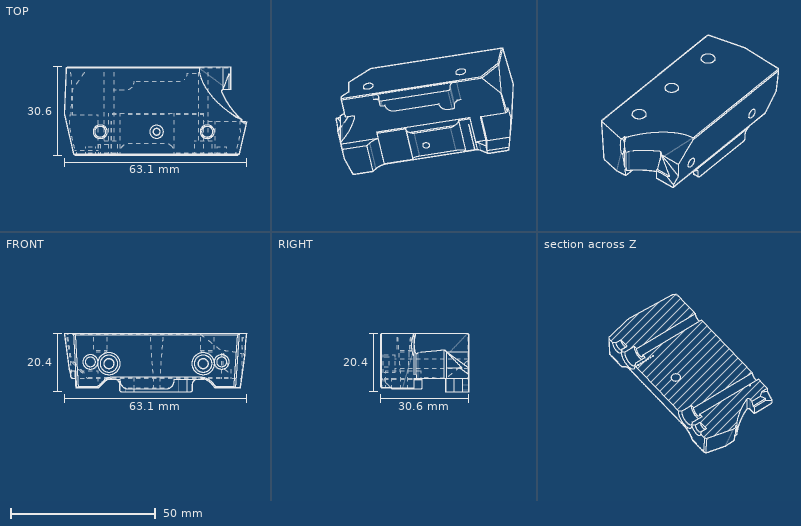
import cadquery as cq
import math

LARGE = 100.0

WIDTH = 30.6
LEFT_TIP = (-31.72, 14.4)
LEFT_FRONT = (-28.4, 0.0)
LEFT_BACK = (-31.05, WIDTH)
RIGHT_TIP = (31.36, 11.4)
RIGHT_FRONT = (28.7, 0.0)
BACK_LEAN = math.tan(math.radians(8.5))
LEFT_LEAN = math.tan(math.radians(3.2))
RIGHT_LEAN = math.tan(math.radians(4.0))
LEG_BOTTOM = -18.9
UNDERSIDE = -15.67
LEFT_LEG_THICKNESS = 3.8
RIGHT_LEG_THICKNESS = 11.7
FRONT_CHAMFER = 0.5
BACK_CHAMFER = 0.35
LOWER_EDGE_X = -28.95

RELIEF_LEFT_FLANK = ((-22.0, -20.9), (-17.6, -16.6))
RELIEF_LEFT_ARC = ((-16.6, -15.9), (-15.4, UNDERSIDE))
RELIEF_RIGHT_ROOT = 15.7
RELIEF_RIGHT_ARC = ((17.8, -16.3), (19.4, -17.7))
RELIEF_RIGHT_END = (22.1, -20.9)

BASE_HALF_LENGTH = 16.4
BASE_BOTTOM = -16.03
BASE_BACK_CHAMFER = 0.3
BASE_BACK = 14.45
PAD_X = (-12.4, 6.2)
PAD_BOTTOM = -19.3
PAD_CORNER_RADIUS = 2.9
PAD_BACK_CHAMFER = 0.35

FOOT_HALF_LENGTH = 12.58
FOOT_FRONT = 22.6
FOOT_BOTTOM = -20.35
FOOT_ROOT_RADIUS = 2.2
FOOT_EDGE_RADIUS = 0.8
FOOT_STEP_RADIUS = 2.9
FOOT_STEP_ENDS = (-7.65, 10.75)

RECESS_FLOOR_X = -20.0
RECESS_Y = (1.7, 14.05)
RECESS_TOP = -13.1
CORNER_CUT_POINT = (-29.65, WIDTH, -9.2)
CORNER_CUT_NORMAL = (-0.65, 0.45, -0.62)

RAMP_EDGE_X = 14.94
RAMP_ANGLE = math.radians(38.0)
GULLET_RADIUS = 9.6
GULLET_TANGENT_Y = 30.2
GULLET_HEADING = math.radians(-36.5)
PILLAR_TOP_X = 23.2
PILLAR_LEDGE_X = 25.2
PILLAR_END_X = 25.85
PILLAR_FRONT = 22.8
PILLAR_LEDGE_Z = -12.0
PILLAR_CORNER = 3.1
PILLAR_CORNER_NORMAL = (0.57, 0.48, 0.67)
PILLAR_ROOT_X = 23.3
PILLAR_ROOT_ARC = ((22.9, 22.6), (22.7, 22.0))
CLEARANCE_ARC = ((25.3, 17.3), (28.9, 13.0))
SHOULDER_STEP = 0.7
SHOULDER = (29.7, RIGHT_LEG_THICKNESS)

SCREW_X = 16.3
SCREW_Z = -10.5
SCREW_DIAMETER = 3.4
SCREW_BORE_DIAMETER = 6.0
SCREW_MOUTH_DIAMETER = 7.7
SCREW_BORE_DEPTH = 5.0
PIN_X = 22.7
PIN_Z = -9.9
PIN_DIAMETER = 3.4
PIN_MOUTH_DIAMETER = 5.1
PIN_DEPTH = 3.0
TOP_HOLE_Y = 8.2
TOP_HOLE_X = (-19.3, 17.7)
TOP_HOLE_DIAMETER = 4.8
TOP_HOLE_END_DIAMETER = 3.8
TOP_HOLE_DEPTH = 6.0
CENTRE_HOLE_X = 0.2
CENTRE_HOLE_DIAMETER = 4.6
CENTRE_THROUGH_DIAMETER = 2.3


def block(x_range, y_range, z_range):
    """Box spanning the given ranges."""
    size = [high - low for low, high in (x_range, y_range, z_range)]
    return cq.Workplane().box(*size, centered=False).translate((x_range[0], y_range[0], z_range[0]))


def half_space(point, normal):
    """Large block lying on the outer side of a plane."""
    return cq.Workplane(cq.Plane(origin=point, normal=normal)).rect(LARGE, LARGE).extrude(LARGE)


def leaning_side(start, end, lean):
    """Material outside a side face whose top edge runs from start to end and which leans inwards."""
    outward = math.copysign(1.0, start[0])
    edge = cq.Vector(end[0] - start[0], end[1] - start[1], 0)
    fall = cq.Vector(-outward * lean, 0, -1)
    normal = edge.cross(fall)
    if normal.x * outward < 0:
        normal = -normal
    return half_space((start[0], start[1], 0), normal.toTuple())


def mirrored(point):
    """Plan point mirrored to the other end of the part."""
    return (-point[0], point[1])


def front_relief():
    """Opening between the two front legs, as a prism along Y."""
    return (
        cq.Workplane("XZ")
        .moveTo(*RELIEF_LEFT_FLANK[0])
        .lineTo(*RELIEF_LEFT_FLANK[1])
        .threePointArc(*RELIEF_LEFT_ARC)
        .lineTo(RELIEF_RIGHT_ROOT, UNDERSIDE)
        .threePointArc(*RELIEF_RIGHT_ARC)
        .lineTo(*RELIEF_RIGHT_END)
        .close()
        .extrude(-RIGHT_LEG_THICKNESS)
    )


def body():
    """Tapered block with two front legs and chamfered long edges."""
    blank = block((-LARGE / 2, LARGE / 2), (0, WIDTH), (LEG_BOTTOM, 0))
    blank = blank.cut(block((-LARGE, 0), (LEFT_LEG_THICKNESS, WIDTH), (LEG_BOTTOM, UNDERSIDE)))
    blank = blank.cut(block((0, LARGE), (RIGHT_LEG_THICKNESS, WIDTH), (LEG_BOTTOM, UNDERSIDE)))
    blank = blank.cut(leaning_side(LEFT_TIP, LEFT_BACK, BACK_LEAN))
    blank = blank.cut(leaning_side(LEFT_TIP, LEFT_FRONT, LEFT_LEAN))
    blank = blank.cut(leaning_side(RIGHT_TIP, RIGHT_FRONT, RIGHT_LEAN))
    blank = blank.cut(leaning_side(mirrored(LEFT_TIP), mirrored(LEFT_BACK), BACK_LEAN))
    blank = blank.cut(front_relief())
    blank = blank.faces("<Y").edges().chamfer(FRONT_CHAMFER)
    blank = blank.cut(half_space(CORNER_CUT_POINT, CORNER_CUT_NORMAL))
    lower_edge = half_space((LOWER_EDGE_X, LEFT_TIP[1], UNDERSIDE), (-1, 0, -1))
    blank = blank.cut(lower_edge.intersect(block((-LARGE, 0), (RECESS_Y[1], WIDTH), (-LARGE, 0))))
    return blank.faces(">Y").edges().chamfer(BACK_CHAMFER)


def left_recess():
    """Step low in the left side, behind the left leg."""
    return block((-LARGE, RECESS_FLOOR_X), RECESS_Y, (-LARGE, RECESS_TOP))


def ramped_bar(x_range, bottom, back_chamfer):
    """Bar along X whose front is a 45 degree ramp continuing the front chamfer."""
    slope_start = UNDERSIDE + FRONT_CHAMFER
    outline = [
        (FRONT_CHAMFER, UNDERSIDE),
        (slope_start - bottom, bottom),
        (BASE_BACK - back_chamfer, bottom),
        (BASE_BACK, bottom + back_chamfer),
        (BASE_BACK, UNDERSIDE),
    ]
    bar = cq.Workplane("YZ").polyline(outline).close().extrude(x_range[1] - x_range[0])
    return bar.translate((x_range[0], 0, 0))


def pad():
    """Ramped pad with its lower corners rounded along Y."""
    bar = ramped_bar(PAD_X, PAD_BOTTOM, PAD_BACK_CHAMFER)
    rounded = (
        block(PAD_X, (0, WIDTH), (PAD_BOTTOM, UNDERSIDE))
        .edges("|Y and <Z")
        .fillet(PAD_CORNER_RADIUS)
    )
    return bar.intersect(rounded)


def foot():
    """Foot at the back edge: flared at its root and stepped back twice towards the right."""
    root = FOOT_HALF_LENGTH + FOOT_ROOT_RADIUS
    neck = UNDERSIDE - FOOT_ROOT_RADIUS
    sag = FOOT_ROOT_RADIUS * (1 - math.sqrt(0.5))
    flared = (
        cq.Workplane("XZ", origin=(0, FOOT_FRONT, 0))
        .moveTo(-root, UNDERSIDE)
        .threePointArc((-FOOT_HALF_LENGTH - sag, UNDERSIDE - sag), (-FOOT_HALF_LENGTH, neck))
        .lineTo(-FOOT_HALF_LENGTH, FOOT_BOTTOM)
        .lineTo(FOOT_HALF_LENGTH, FOOT_BOTTOM)
        .lineTo(FOOT_HALF_LENGTH, neck)
        .threePointArc((FOOT_HALF_LENGTH + sag, UNDERSIDE - sag), (root, UNDERSIDE))
        .close()
        .extrude(FOOT_FRONT - WIDTH)
        .edges("|Y and <Z")
        .fillet(FOOT_EDGE_RADIUS)
    )
    for number, step_end in enumerate(FOOT_STEP_ENDS):
        front = FOOT_FRONT + number * FOOT_STEP_RADIUS
        flared = flared.cut(foot_step(step_end, front))
    return flared


def foot_step(step_end, front):
    """Cutter that drops the foot's front back by one rounded step, right of step_end."""
    start = step_end - FOOT_STEP_RADIUS
    sag = FOOT_STEP_RADIUS * math.sqrt(0.5)
    return (
        cq.Workplane("XY", origin=(0, 0, FOOT_BOTTOM))
        .moveTo(start, front)
        .threePointArc((start + sag, front + FOOT_STEP_RADIUS - sag), (step_end, front + FOOT_STEP_RADIUS))
        .lineTo(LARGE, front + FOOT_STEP_RADIUS)
        .lineTo(LARGE, front)
        .close()
        .extrude(UNDERSIDE - FOOT_BOTTOM)
    )


def gullet():
    """Slanted trough: a flat ramp running tangentially into a cylinder."""
    ramp_normal = cq.Vector(math.sin(RAMP_ANGLE), 0, math.cos(RAMP_ANGLE))
    drop = -math.cos(GULLET_HEADING) * math.tan(RAMP_ANGLE)
    axis = cq.Vector(math.cos(GULLET_HEADING), math.sin(GULLET_HEADING), drop)
    start = cq.Vector(RAMP_EDGE_X, GULLET_TANGENT_Y, 0) - axis.normalized() * (LARGE / 2)
    section = cq.Plane(origin=start.toTuple(), xDir=ramp_normal.toTuple(), normal=axis.toTuple())
    side = 1.0 if section.yDir.y < 0 else -1.0
    sag = GULLET_RADIUS * math.sqrt(0.5)
    return (
        cq.Workplane(section)
        .moveTo(0, -side * LARGE)
        .lineTo(0, 0)
        .threePointArc((GULLET_RADIUS - sag, side * sag), (GULLET_RADIUS, side * GULLET_RADIUS))
        .lineTo(LARGE, side * GULLET_RADIUS)
        .lineTo(LARGE, -side * LARGE)
        .close()
        .extrude(LARGE)
    )


def right_clearance():
    """Vertical cut that shapes the back right end and leaves a pillar at the back edge."""
    return (
        cq.Workplane("XY", origin=(0, 0, -LARGE / 2))
        .moveTo(PILLAR_END_X, LARGE)
        .lineTo(PILLAR_END_X, PILLAR_FRONT)
        .lineTo(PILLAR_ROOT_X, PILLAR_FRONT)
        .threePointArc(*PILLAR_ROOT_ARC)
        .threePointArc(*CLEARANCE_ARC)
        .lineTo(SHOULDER[0], SHOULDER[1] + SHOULDER_STEP)
        .lineTo(*SHOULDER)
        .lineTo(LARGE, SHOULDER[1])
        .lineTo(LARGE, LARGE)
        .close()
        .extrude(LARGE)
    )


def pillar_top():
    """Steep wall and ledge below the ramp at the right end of the pillar."""
    ramp_end = -(PILLAR_TOP_X - RAMP_EDGE_X) * math.tan(RAMP_ANGLE)
    outline = [
        (PILLAR_TOP_X, 0),
        (PILLAR_TOP_X, ramp_end),
        (PILLAR_LEDGE_X, PILLAR_LEDGE_Z),
        (LARGE, PILLAR_LEDGE_Z),
        (LARGE, 0),
    ]
    cutter = cq.Workplane("XZ", origin=(0, PILLAR_FRONT, 0)).polyline(outline).close().extrude(-LARGE)
    back_corner = half_space((PILLAR_END_X, WIDTH - PILLAR_CORNER, PILLAR_LEDGE_Z), PILLAR_CORNER_NORMAL)
    pillar = block((PILLAR_TOP_X, LARGE), (PILLAR_FRONT, LARGE), (-LARGE, 0))
    return cutter.union(back_corner.intersect(pillar))


def turned(outline, location):
    """Cutter turned about +Z from (radius, depth) points, moved so that its mouth sits at location."""
    profile = [(0, 0)] + [(radius, -depth) for radius, depth in outline] + [(0, -outline[-1][1])]
    cutter = cq.Workplane("XZ").polyline(profile).close().revolve(360, (0, 0), (0, 1))
    return cq.Workplane(cutter.val().moved(location))


def front_location(x, z):
    """Mouth on the front face, with the hole running towards +Y."""
    return cq.Location(cq.Vector(x, 0, z), cq.Vector(1, 0, 0), 90)


def top_location(x):
    """Mouth on the top face, with the hole running towards -Z."""
    return cq.Location(cq.Vector(x, TOP_HOLE_Y, 0))


def screw_hole(x):
    """Counterbored through hole with a chamfered mouth."""
    bore = SCREW_BORE_DIAMETER / 2
    mouth = SCREW_MOUTH_DIAMETER / 2
    shank = SCREW_DIAMETER / 2
    outline = [
        (mouth, 0),
        (bore, mouth - bore),
        (bore, SCREW_BORE_DEPTH),
        (shank, SCREW_BORE_DEPTH),
        (shank, WIDTH),
    ]
    return turned(outline, front_location(x, SCREW_Z))


def pin_hole(x):
    """Blind pin hole with a chamfered mouth."""
    mouth = PIN_MOUTH_DIAMETER / 2
    bore = PIN_DIAMETER / 2
    outline = [(mouth, 0), (bore, mouth - bore), (bore, PIN_DEPTH)]
    return turned(outline, front_location(x, PIN_Z))


def top_hole(x):
    """Blind hole ending in a short cone and a flat."""
    bore = TOP_HOLE_DIAMETER / 2
    end = TOP_HOLE_END_DIAMETER / 2
    outline = [(bore, 0), (bore, TOP_HOLE_DEPTH), (end, TOP_HOLE_DEPTH + bore - end)]
    return turned(outline, top_location(x))


def centre_hole():
    """Through hole that tapers down to its small end over the body height."""
    bore = CENTRE_HOLE_DIAMETER / 2
    through = CENTRE_THROUGH_DIAMETER / 2
    outline = [
        (bore, 0),
        (through, -UNDERSIDE),
        (through, -FOOT_BOTTOM),
    ]
    return turned(outline, top_location(CENTRE_HOLE_X))


result = body().cut(left_recess())
for cutter in (gullet(), right_clearance(), pillar_top()):
    result = result.cut(cutter)
result = result.union(ramped_bar((-BASE_HALF_LENGTH, BASE_HALF_LENGTH), BASE_BOTTOM, BASE_BACK_CHAMFER))
result = result.union(pad()).union(foot())
for side in (-1, 1):
    result = result.cut(screw_hole(side * SCREW_X)).cut(pin_hole(side * PIN_X))
for hole_x in TOP_HOLE_X:
    result = result.cut(top_hole(hole_x))
result = result.cut(centre_hole())